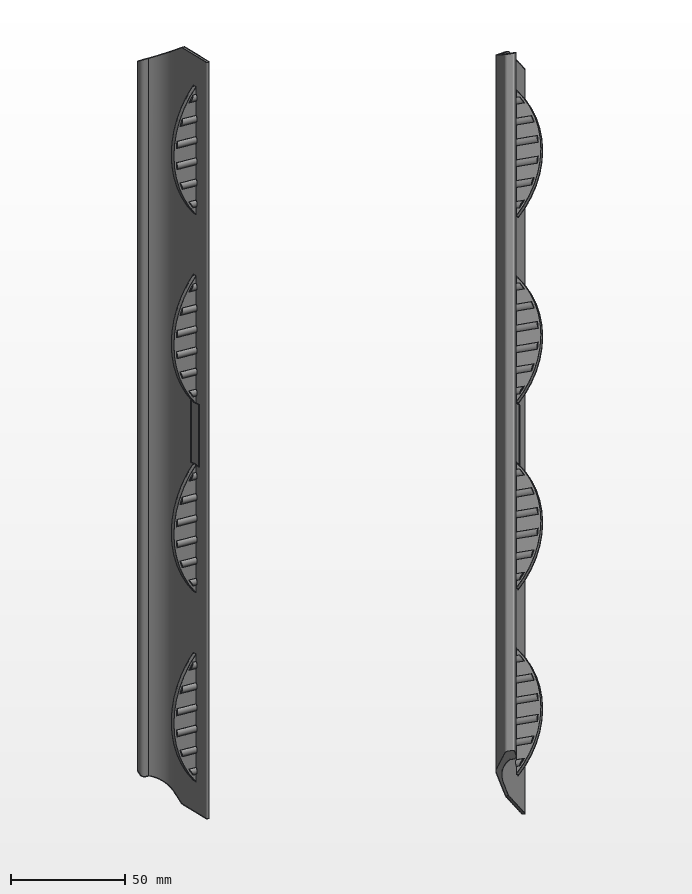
import cadquery as cq
import math

length = 360.0
width = 40.0
height = 13.0

web_thickness = 1.5
flank_run = 8.0
flank_bend_radius = 2.0
hollow_start_x = 14.0
hollow_radius = 10.8
lip_depth = 12.0
lip_width = 4.0
lip_inner_round = 1.8
edge_round = 0.55

corner_run = 19.8
corner_angle = 30.0

fin_x = 30.2
fin_thickness = 2.0
fin_length = 61.0
fin_pitch = 90.0
fin_count = 4

rib_diameter = 4.0
rib_pitch = 10.0
rib_count = 6
rib_setback = 1.0

panel_width = 6.5
panel_length = 29.5
panel_depth = 0.5


def centred_positions(count, pitch):
    return [(i - (count - 1) / 2) * pitch for i in range(count)]


def round_long_edge(strip, x, y, radius):
    edge = cq.selectors.NearestToPointSelector((x, y, 0))
    return strip.edges(edge).fillet(radius)


def hollow_point(x):
    """Point on the concave arc that runs tangent from the web down to the lip."""
    run = hollow_start_x - x
    drop = hollow_radius - math.sqrt(hollow_radius**2 - run**2)
    return (x, -web_thickness - drop)


def make_strip():
    """Constant cross-section along Z with its bends and long edges rounded."""
    strip = (
        cq.Workplane("XY", origin=(0, 0, -length / 2))
        .moveTo(flank_run, 0)
        .lineTo(width, 0)
        .lineTo(width, -web_thickness)
        .lineTo(hollow_start_x, -web_thickness)
        .threePointArc(hollow_point((hollow_start_x + lip_width) / 2), hollow_point(lip_width))
        .lineTo(lip_width, -lip_depth)
        .lineTo(0, -lip_depth)
        .lineTo(0, -flank_run)
        .close()
        .extrude(length)
    )
    strip = round_long_edge(strip, flank_run, 0, flank_bend_radius)
    strip = round_long_edge(strip, 0, -flank_run, flank_bend_radius)
    strip = round_long_edge(strip, lip_width, -lip_depth, lip_inner_round)
    strip = round_long_edge(strip, 0, -lip_depth, edge_round)
    strip = round_long_edge(strip, width, 0, edge_round)
    return round_long_edge(strip, width, -web_thickness, edge_round)


def make_corner_cut():
    """Wedge that slants the upper end of the strip on the lip side."""
    drop = corner_run * math.tan(math.radians(corner_angle))
    return (
        cq.Workplane("XZ")
        .moveTo(0, length / 2)
        .lineTo(corner_run, length / 2)
        .lineTo(0, length / 2 - drop)
        .close()
        .extrude(height)
    )


def fin_segment(thickness, setback):
    """Circular segment rising from the web, its arc set back from the fin crest."""
    rise = height - web_thickness
    radius = ((fin_length / 2) ** 2 + rise**2) / (2 * rise)
    disc = (
        cq.Workplane("YZ", origin=(fin_x - thickness / 2, radius - height, 0))
        .circle(radius - setback)
        .extrude(thickness)
    )
    keep = cq.Workplane("XY").box(width, height, fin_length)
    return disc.intersect(keep.translate((fin_x, -web_thickness / 2 - height / 2, 0)))


def make_fin():
    """Thin arched fin with a row of round ribs standing out on both flanks."""
    fin = fin_segment(fin_thickness, 0)
    rib_envelope = fin_segment(rib_diameter, rib_setback)
    ribs = (
        cq.Workplane("XZ")
        .pushPoints([(fin_x, z) for z in centred_positions(rib_count, rib_pitch)])
        .circle(rib_diameter / 2)
        .extrude(height)
        .intersect(rib_envelope)
    )
    return fin.union(ribs)


def make_panel():
    """Shallow rectangular recess in the inner face of the web."""
    return (
        cq.Workplane("XZ", origin=(0, -web_thickness + panel_depth, 0))
        .center(fin_x, 0)
        .rect(panel_width, panel_length)
        .extrude(panel_depth)
    )


corner_cut = make_corner_cut()
result = make_strip().cut(corner_cut).cut(corner_cut.mirror("XY")).cut(make_panel())

fin = make_fin()
for fin_z in centred_positions(fin_count, fin_pitch):
    result = result.union(fin.translate((0, 0, fin_z)))